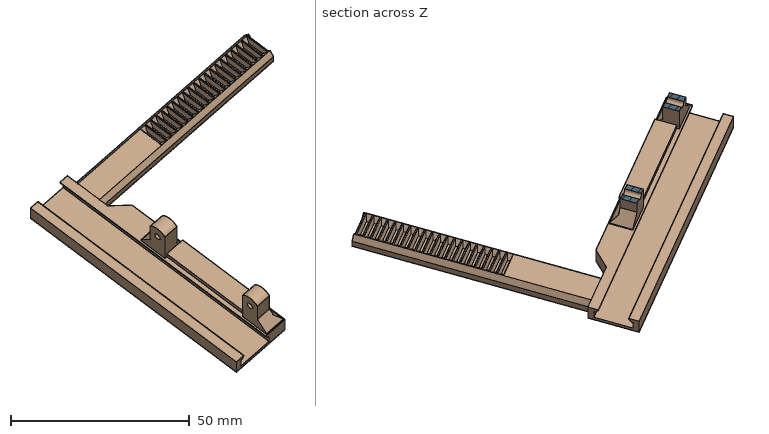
import cadquery as cq
import math

total_reach = 86.0
channel_length = 78.3
channel_width = 15.2
channel_height = 4.9

floor_thickness = 1.1
wall_thickness = 1.8
lip_overhang = 1.3
lip_edge_thickness = 0.35

shelf_depth = 4.8
shelf_start = 15.3

arm_start = 2.15
arm_width = 10.9
arm_height = 3.9
bevel_width = 1.4
bevel_drop = 1.6

pocket_count = 21
pocket_pitch = 2.2
rack_length = 44.7
pocket_depth = 1.55
flank_angle = 20.0
tooth_land = 0.39

lug_lefts = (33.8, 68.9)
lug_width = 5.6
lug_front = 12.7
lug_depth = 5.0
lug_top = 16.25
hole_height = 12.55
hole_diameter = 2.0

foot_spread = 3.5
foot_edge_height = 0.35
foot_back_gap = 0.35

pad_front = 13.5
pad_height = 1.4

shelf_back = channel_width + shelf_depth


def make_channel():
    """U channel with inward lips that are bevelled underneath at 45 degrees."""
    left = wall_thickness
    right = channel_width - wall_thickness
    lip_bottom = channel_height - lip_edge_thickness
    bevel_bottom = lip_bottom - lip_overhang
    return (
        cq.Workplane("YZ")
        .moveTo(0, 0)
        .lineTo(channel_width, 0)
        .lineTo(channel_width, channel_height)
        .lineTo(right - lip_overhang, channel_height)
        .lineTo(right - lip_overhang, lip_bottom)
        .lineTo(right, bevel_bottom)
        .lineTo(right, floor_thickness)
        .lineTo(left, floor_thickness)
        .lineTo(left, bevel_bottom)
        .lineTo(left + lip_overhang, lip_bottom)
        .lineTo(left + lip_overhang, channel_height)
        .lineTo(0, channel_height)
        .close()
        .extrude(channel_length)
    )


def make_shelf():
    """Full-height block along the back of the channel."""
    return (
        cq.Workplane("XY")
        .moveTo(shelf_start, channel_width)
        .lineTo(channel_length, channel_width)
        .lineTo(channel_length, shelf_back)
        .lineTo(shelf_start + shelf_depth, shelf_back)
        .close()
        .extrude(channel_height)
    )


def make_arm():
    """Bar with bevelled upper edges, carrying the rack at its far end."""
    arm_length = total_reach - channel_width
    arm_end = arm_start + arm_width
    bevel_start = arm_height - bevel_drop
    bar = (
        cq.Workplane("XZ", origin=(0, channel_width, 0))
        .moveTo(arm_start, 0)
        .lineTo(arm_end, 0)
        .lineTo(arm_end, bevel_start)
        .lineTo(arm_end - bevel_width, arm_height)
        .lineTo(arm_start + bevel_width, arm_height)
        .lineTo(arm_start, bevel_start)
        .close()
        .extrude(-arm_length)
    )
    for index in range(pocket_count):
        center_y = total_reach - rack_length + (index + 1 / 2) * pocket_pitch
        bar = bar.cut(make_pocket(center_y))
    return bar


def make_pocket(center_y):
    """Tapered gap between two teeth, with steep flanks and 45 degree ends."""
    mouth_length = arm_width - 2 * bevel_width
    mouth_width = pocket_pitch - tooth_land
    floor_length = mouth_length - 2 * pocket_depth
    floor_width = mouth_width - 2 * pocket_depth * math.tan(math.radians(flank_angle))
    return (
        cq.Workplane("XY")
        .workplane(offset=arm_height - pocket_depth)
        .center(arm_start + arm_width / 2, center_y)
        .rect(floor_length, floor_width)
        .workplane(offset=pocket_depth)
        .rect(mouth_length, mouth_width)
        .loft(ruled=True)
    )


def make_lug(left):
    """Upright ear whose crown is an arc centred on its cross hole."""
    center_x = left + lug_width / 2
    crown_radius = lug_top - hole_height
    shoulder = hole_height + math.sqrt(crown_radius**2 - (lug_width / 2) ** 2)
    return (
        cq.Workplane("XZ", origin=(0, lug_front, 0))
        .moveTo(left, channel_height)
        .lineTo(left + lug_width, channel_height)
        .lineTo(left + lug_width, shoulder)
        .threePointArc((center_x, lug_top), (left, shoulder))
        .close()
        .extrude(-lug_depth)
    )


def make_foot(left, side):
    """Foot of a lug, sloping at 45 degrees away to one side (-1 or +1) and to the back."""
    inner_x = left if side > 0 else left + lug_width
    lug_edge = left + lug_width if side > 0 else left
    outer_x = lug_edge + side * foot_spread
    edge_top = channel_height + foot_edge_height
    slope_top = edge_top + foot_spread
    lug_back = lug_front + lug_depth
    foot_back = shelf_back - foot_back_gap
    side_slope = (
        cq.Workplane("XZ", origin=(0, lug_front, 0))
        .moveTo(inner_x, channel_height)
        .lineTo(outer_x, channel_height)
        .lineTo(outer_x, edge_top)
        .lineTo(lug_edge, slope_top)
        .lineTo(inner_x, slope_top)
        .close()
        .extrude(lug_front - foot_back)
    )
    back_slope = (
        cq.Workplane("YZ")
        .moveTo(lug_front, channel_height)
        .lineTo(foot_back, channel_height)
        .lineTo(foot_back, edge_top)
        .lineTo(lug_back, edge_top + foot_back - lug_back)
        .lineTo(lug_back, slope_top)
        .lineTo(lug_front, slope_top)
        .close()
        .extrude(channel_length)
    )
    return side_slope.intersect(back_slope)


def make_pad():
    """Low step that joins the feet of the two lugs."""
    pad_left = lug_lefts[0] + lug_width
    pad_length = lug_lefts[1] - pad_left
    pad_depth = shelf_back - pad_front
    return (
        cq.Workplane("XY")
        .box(pad_length, pad_depth, pad_height, centered=False)
        .translate((pad_left, pad_front, channel_height))
    )


def make_hole(left):
    """Cross hole running through a lug along Y."""
    return (
        cq.Workplane("XZ", origin=(left + lug_width / 2, lug_front, hole_height))
        .circle(hole_diameter / 2)
        .extrude(-lug_depth)
    )


result = make_channel().union(make_shelf()).union(make_arm()).union(make_pad())

for lug_left, flare_side in zip(lug_lefts, (-1, 1)):
    lug = make_lug(lug_left).union(make_foot(lug_left, flare_side))
    result = result.union(lug.cut(make_hole(lug_left)))